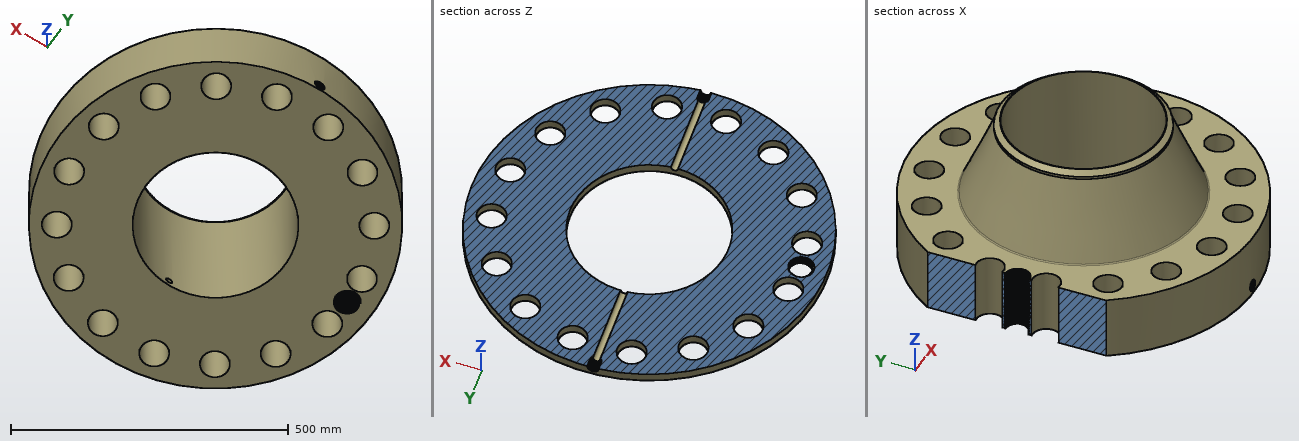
import cadquery as cq
import math

flange_diameter = 673.0
flange_thickness = 124.0
total_height = 283.0
hub_base_diameter = 451.0
hub_fillet = 3.0
pipe_diameter = 324.0
bore_diameter = 299.0
weld_land = 1.5
bevel_height = 9.0
pipe_straight = 5.5

bolt_count = 16
bolt_circle_diameter = 572.0
bolt_hole_diameter = 54.0

jack_minor_diameter = 44.5
jack_major_diameter = 50.0
jack_pitch = 5.0

tap_height = 17.5
tap_drill_diameter = 13.0
tap_minor_diameter = 19.0
tap_major_diameter = 21.5
tap_pitch = 2.0
tap_thread_depth = 20.0

thread_flank_angle = 30


def neck_flange():
    """Disc, conical hub and bevelled pipe end as one turned body with its bore."""
    bore_radius = bore_diameter / 2
    pipe_radius = pipe_diameter / 2
    bevel_bottom = total_height - bevel_height
    profile = [
        (bore_radius, 0),
        (flange_diameter / 2, 0),
        (flange_diameter / 2, flange_thickness),
        (hub_base_diameter / 2, flange_thickness),
        (pipe_radius, bevel_bottom - pipe_straight),
        (pipe_radius, bevel_bottom),
        (bore_radius + weld_land, total_height),
        (bore_radius, total_height),
    ]
    body = cq.Workplane("XZ").polyline(profile).close().revolve(360, (0, 0), (0, 1))
    hub_base_edge = cq.selectors.NearestToPointSelector((0, 0, flange_thickness))
    return body.edges("%CIRCLE").edges(hub_base_edge).fillet(hub_fillet)


def bolt_holes():
    """Ring of plain through holes, offset half a step from the X axis."""
    step = 360 / bolt_count
    return (
        cq.Workplane("XY")
        .polarArray(bolt_circle_diameter / 2, step / 2, 360, bolt_count)
        .circle(bolt_hole_diameter / 2)
        .extrude(flange_thickness)
    )


def threaded_cutter(minor_diameter, major_diameter, pitch, length):
    """Cylinder along +Z with a helical V ridge; the core runs one pitch past each ridge end."""
    minor_radius = minor_diameter / 2
    major_radius = major_diameter / 2
    inner_radius = minor_radius - (major_radius - minor_radius) / 10
    base_half = (major_radius - inner_radius) * math.tan(math.radians(thread_flank_angle))
    helix = cq.Wire.makeHelix(pitch, length, inner_radius)
    ridge = (
        cq.Workplane("XZ")
        .polyline([(inner_radius, -base_half), (major_radius, 0), (inner_radius, base_half)])
        .close()
        .sweep(cq.Workplane(helix), isFrenet=True)
    )
    core = cq.Workplane("XY").workplane(offset=-pitch).circle(minor_radius).extrude(length + 2 * pitch)
    return core.union(ridge)


def jack_screw_hole():
    """Helically threaded hole through the full flange thickness."""
    thread_length = flange_thickness + 2 * jack_pitch
    cutter = threaded_cutter(jack_minor_diameter, jack_major_diameter, jack_pitch, thread_length)
    return cutter.translate((-bolt_circle_diameter / 2, 0, -jack_pitch))


def pressure_tap():
    """Threaded mouth in the -Y rim; its thread starts just outside the rim."""
    run_in = 2 * tap_pitch
    thread_length = tap_thread_depth + run_in
    cutter = threaded_cutter(tap_minor_diameter, tap_major_diameter, tap_pitch, thread_length)
    inward = cutter.rotate((0, 0, 0), (1, 0, 0), -90)
    return inward.translate((0, -flange_diameter / 2 - run_in, tap_height))


def tap_drilling():
    """Small straight drilling along Y through both walls of the flange."""
    return (
        cq.Workplane("XZ")
        .center(0, tap_height)
        .circle(tap_drill_diameter / 2)
        .extrude(flange_diameter / 2, both=True)
    )


result = neck_flange().cut(bolt_holes()).cut(jack_screw_hole()).cut(tap_drilling())
for tap_angle in (0, 180):
    result = result.cut(pressure_tap().rotate((0, 0, 0), (0, 0, 1), tap_angle))